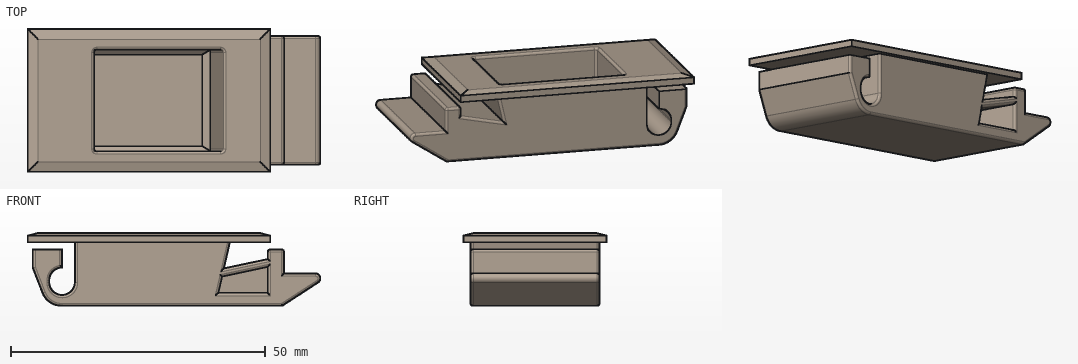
import cadquery as cq
import math


same_place = 0.005

length = 57.5
height = 14.3
body_width = 25.35
edge_round = 0.5

plate_length = 47.7
plate_width = 28.1
plate_thickness = 1.85
plate_bevel_run = 2.0
plate_bevel_drop = 0.5
plate_bottom = height - plate_thickness

hook_left = 1.0
hook_top = 11.1
hook_slope_start = 7.55
hook_slope_end_x = 3.9
hook_belly_radius = 4.0
slot_right = 9.25
seat_radius = 5.0 / 2
seat_x = slot_right - seat_radius
seat_low_z = 4.65
seat_high_z = 5.0

wall_lean = math.tan(math.radians(12.9))
rear_wall_top_x = 39.75
arm_slope = math.tan(math.radians(12.0))
arm_end_z = 9.2
arm_depth = 1.55
window_floor = 2.55
window_back_web = 2.0

post_left = 47.15
post_right = 50.4
post_top = hook_top
nose_top = 6.4
nose_round = 1.0
nose_ramp_angle = math.radians(33)

pocket_left = 13.05
pocket_right = 38.5
pocket_width = 19.95
pocket_floor = 2.2
pocket_corner_round = 0.5
pocket_bevel_height = 1.0
pocket_bevel_side = 1.0
pocket_bevel_end = 1.6


def rear_wall_x(z):
    """X of the leaning rear wall at height z."""
    return rear_wall_top_x - (plate_bottom - z) * wall_lean


def arm_meets_wall(end_z):
    """Point where an arm face that reaches the post at end_z meets the rear wall."""
    reach = post_left - rear_wall_x(end_z)
    drop = reach * arm_slope / (1 - arm_slope * wall_lean)
    return (rear_wall_x(end_z - drop), end_z - drop)


def across_body(sketch):
    """Extrude an XZ sketch over the full body width, centred on Y."""
    return sketch.extrude(body_width / 2, both=True)


def edges_across(solid, points):
    """Edges across the body that pass through the given XZ points."""
    found = []
    for edge in solid.edges("|Y").vals():
        middle = edge.positionAt(0.5)
        if any(math.hypot(middle.x - x, middle.z - z) < same_place for x, z in points):
            found.append(edge)
    return solid.newObject(found)


def make_profile():
    """Hook, body, spring arm and latch as one prism with sharp long edges."""
    hook_belly = (hook_slope_end_x, 0)
    post_corners = [(post_right, post_top), (post_left, post_top)]

    tip_x = length - nose_round
    tip_z = nose_top - nose_round
    ramp_end_x = tip_x + nose_round * math.sin(nose_ramp_angle)
    ramp_end_z = tip_z - nose_round * math.cos(nose_ramp_angle)
    ramp_start_x = ramp_end_x - ramp_end_z / math.tan(nose_ramp_angle)
    tip_middle_angle = nose_ramp_angle / 2
    tip_middle = (
        tip_x + nose_round * math.cos(tip_middle_angle),
        tip_z + nose_round * math.sin(tip_middle_angle),
    )

    seat_left = seat_x - seat_radius
    seat_bottom = (seat_x, seat_low_z - seat_radius)
    seat_diagonal = seat_radius * math.sqrt(0.5)
    seat_upper_middle = (seat_x - seat_diagonal, seat_high_z + seat_diagonal)

    sketch = (
        cq.Workplane("XZ")
        .moveTo(hook_left, hook_top)
        .lineTo(hook_left, hook_slope_start)
        .lineTo(*hook_belly)
        .lineTo(ramp_start_x, 0)
        .lineTo(ramp_end_x, ramp_end_z)
        .threePointArc(tip_middle, (tip_x, nose_top))
        .lineTo(post_right, nose_top)
        .lineTo(*post_corners[0])
        .lineTo(*post_corners[1])
        .lineTo(post_left, arm_end_z)
        .lineTo(*arm_meets_wall(arm_end_z))
        .lineTo(rear_wall_top_x, plate_bottom)
        .lineTo(slot_right, plate_bottom)
        .lineTo(slot_right, seat_low_z)
        .threePointArc(seat_bottom, (seat_left, seat_low_z))
        .lineTo(seat_left, seat_high_z)
        .threePointArc(seat_upper_middle, (seat_x, seat_high_z + seat_radius))
        .lineTo(seat_x, hook_top)
        .close()
    )
    prism = across_body(sketch)
    prism = edges_across(prism, [hook_belly]).fillet(hook_belly_radius)
    return edges_across(prism, post_corners).fillet(edge_round)


def make_window():
    """Recess in the -Y side below the spring arm, closed by a web on the +Y side."""
    arm_bottom_end_z = arm_end_z - arm_depth
    corners = [
        (rear_wall_x(window_floor), window_floor),
        (post_left, window_floor),
        (post_left, arm_bottom_end_z),
        arm_meets_wall(arm_bottom_end_z),
    ]
    return (
        cq.Workplane("XZ", origin=(0, -body_width / 2, 0))
        .polyline(corners)
        .close()
        .extrude(-(body_width - window_back_web))
    )


def is_rounded(edge):
    """True for side edges that are rounded: not the hook top, the plate joint
    or the +Y edges of the slot and its seat."""
    middle = edge.positionAt(0.5)
    on_hook_top = middle.x < seat_x and abs(middle.z - hook_top) < same_place
    on_plate = abs(middle.z - plate_bottom) < same_place
    within_slot_x = seat_x - seat_radius - same_place < middle.x < slot_right + same_place
    above_seat_bottom = middle.z > seat_low_z - seat_radius - same_place
    on_far_slot_edge = middle.y > 0 and within_slot_x and above_seat_bottom
    return not (on_hook_top or on_plate or on_far_slot_edge)


def round_side_edges(body):
    """Round the outline edges of the two sides."""
    side_edges = body.faces("<Y or >Y").edges().vals()
    return body.newObject([edge for edge in side_edges if is_rounded(edge)]).fillet(edge_round)


def make_plate():
    """Cover plate with a shallow bevel around its top."""
    rim_height = plate_thickness - plate_bevel_drop
    plate = (
        cq.Workplane("XY", origin=(plate_length / 2, 0, plate_bottom))
        .rect(plate_length, plate_width)
        .extrude(rim_height)
    )
    bevel = (
        cq.Workplane("XY", origin=(plate_length / 2, 0, plate_bottom + rim_height))
        .rect(plate_length, plate_width)
        .workplane(offset=plate_bevel_drop)
        .rect(plate_length - 2 * plate_bevel_run, plate_width - 2 * plate_bevel_run)
        .loft(ruled=True)
    )
    return plate.union(bevel)


def rectangle(end_x, half_width):
    """Corners of a rectangle from the pocket's front wall to end_x."""
    return [
        (pocket_left, -half_width),
        (end_x, -half_width),
        (end_x, half_width),
        (pocket_left, half_width),
    ]


def make_pocket():
    """Finger pocket with a leaning end wall and bevels around three sides of its floor."""
    half = pocket_width / 2
    floor_half = half - pocket_bevel_side
    bevel_top = pocket_floor + pocket_bevel_height
    wall_foot_x = pocket_right - (height - bevel_top) * wall_lean
    floor_end_x = wall_foot_x - pocket_bevel_end
    upper_outline = [
        (pocket_left, bevel_top),
        (wall_foot_x, bevel_top),
        (pocket_right, height),
        (pocket_left, height),
    ]
    upper = cq.Workplane("XZ").polyline(upper_outline).close().extrude(half, both=True)
    upper = upper.edges("(not |X) and (not |Y)").fillet(pocket_corner_round)
    lower = (
        cq.Workplane("XY", origin=(0, 0, pocket_floor))
        .polyline(rectangle(floor_end_x, floor_half))
        .close()
        .workplane(offset=pocket_bevel_height)
        .polyline(rectangle(wall_foot_x, half))
        .close()
        .loft(ruled=True)
    )
    return upper.union(lower)


def round_pocket_rim(part):
    """Round the edges where the pocket opens in the plate's top face."""
    margin = edge_round
    rim = cq.selectors.BoxSelector(
        (pocket_left - margin, -pocket_width / 2 - margin, height - same_place),
        (pocket_right + margin, pocket_width / 2 + margin, height + same_place),
    )
    return part.edges(rim).fillet(edge_round)


body = round_side_edges(make_profile().cut(make_window()))
handle = body.union(make_plate()).cut(make_pocket())
result = round_pocket_rim(handle)